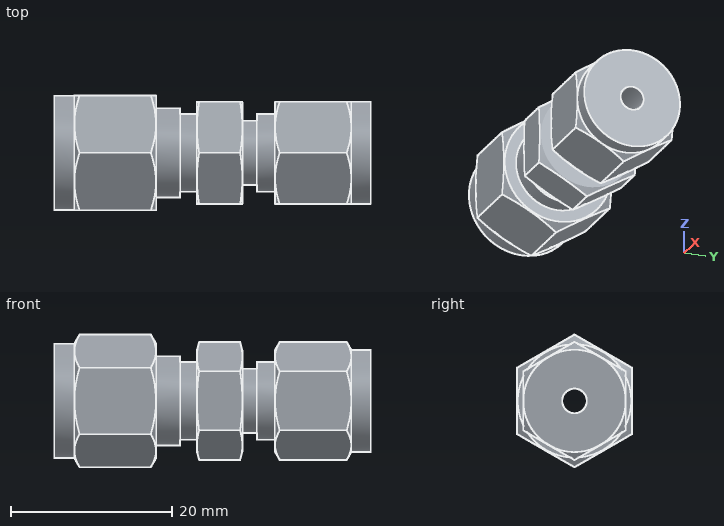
import cadquery as cq
import math

total_length = 39.37

large_collar_diameter = 14.25
large_shoulder_diameter = 11.1
body_neck_diameter = 9.7
small_neck_diameter = 8.05

large_hex_flats = 14.3
small_hex_flats = 12.7
small_collar_diameter = small_hex_flats

large_nut_start = 2.5
large_nut_end = 12.7
large_shoulder_end = 15.65
body_hex_start = 17.7
body_hex_end = 23.43
small_shoulder_start = 25.2
small_nut_start = 27.45
small_nut_end = 36.93

nut_chamfer_angle = 30.0
body_chamfer_angle = 15.0

large_collar_inset = large_hex_flats - large_collar_diameter
small_collar_inset = small_hex_flats - small_collar_diameter
large_nut_inset = 0.2
small_nut_inset = 0.08
body_hex_inset = 0.3

passage_diameter = 3.05
tube_bore_diameter = 6.38
tube_bore_depth = 15.2


def cylinder(start, end, diameter):
    """Round section about the X axis."""
    return cq.Workplane("YZ", origin=(start, 0, 0)).circle(diameter / 2).extrude(end - start)


def hexagon(start, end, flats, angle, start_inset, end_inset):
    """Hexagon with corners up and down, its corners turned to a cone at both ends."""
    corner_diameter = flats / math.cos(math.pi / 6)
    prism = (
        cq.Workplane("YZ", origin=(start, 0, 0))
        .transformed(rotate=(0, 0, 90))
        .polygon(6, corner_diameter)
        .extrude(end - start)
    )
    outer_radius = corner_diameter / 2
    start_radius = (flats - start_inset) / 2
    end_radius = (flats - end_inset) / 2
    slope = math.tan(math.radians(angle))
    envelope = (
        cq.Workplane("XY")
        .moveTo(start, 0)
        .lineTo(start, start_radius)
        .lineTo(start + (outer_radius - start_radius) * slope, outer_radius)
        .lineTo(end - (outer_radius - end_radius) * slope, outer_radius)
        .lineTo(end, end_radius)
        .lineTo(end, 0)
        .close()
        .revolve(360, (0, 0, 0), (1, 0, 0))
    )
    return prism.intersect(envelope)


large_nut = cylinder(0, large_nut_start, large_collar_diameter).union(
    hexagon(
        large_nut_start, large_nut_end, large_hex_flats,
        nut_chamfer_angle, large_collar_inset, large_nut_inset,
    )
)

body_hex = hexagon(
    body_hex_start, body_hex_end, small_hex_flats,
    body_chamfer_angle, body_hex_inset, body_hex_inset,
)
body = (
    cylinder(large_nut_end, large_shoulder_end, large_shoulder_diameter)
    .union(cylinder(large_shoulder_end, body_hex_start, body_neck_diameter))
    .union(body_hex)
    .union(cylinder(body_hex_end, small_shoulder_start, small_neck_diameter))
    .union(cylinder(small_shoulder_start, small_nut_start, body_neck_diameter))
)

small_nut = hexagon(
    small_nut_start, small_nut_end, small_hex_flats,
    nut_chamfer_angle, small_nut_inset, small_collar_inset,
).union(cylinder(small_nut_end, total_length, small_collar_diameter))

bore = cylinder(0, total_length, passage_diameter).union(
    cylinder(0, tube_bore_depth, tube_bore_diameter)
)

result = large_nut.union(body).union(small_nut).cut(bore)